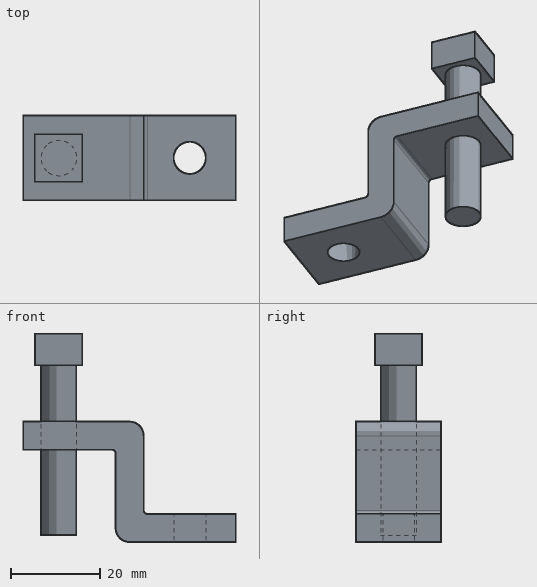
import cadquery as cq

bracket_length = 47.65
bracket_width = 19.05
bracket_height = 27.0
bar_thickness = 6.35
web_right = 27.0
outer_bend_radius = 3.2
inner_bend_radius = 0.8
mount_hole_diameter = 7.15
mount_hole_from_end = 10.35

screw_x = 7.95
shank_diameter = 7.95
shank_bottom = 1.55
head_side = 10.6
head_height = 7.1
screw_top = 46.7

web_left = web_right - bar_thickness
upper_arm_bottom = bracket_height - bar_thickness
mount_hole_x = bracket_length - mount_hole_from_end
head_bottom = screw_top - head_height


def vertical_cylinder(x, diameter, bottom, top):
    """Round bar along Z on the middle plane of the part."""
    return cq.Workplane("XY", origin=(x, 0, bottom)).circle(diameter / 2).extrude(top - bottom)


def bend_edges(body, x, z):
    """Select the bracket's bend edge running along Y at the given X and Z."""
    margin = 0.05
    half_width = bracket_width / 2 + margin
    return body.edges(
        cq.selectors.BoxSelector(
            (x - margin, -half_width, z - margin),
            (x + margin, half_width, z + margin),
        )
    ).edges("|Y")


def make_bracket():
    outline = [
        (0, bracket_height),
        (web_right, bracket_height),
        (web_right, bar_thickness),
        (bracket_length, bar_thickness),
        (bracket_length, 0),
        (web_left, 0),
        (web_left, upper_arm_bottom),
        (0, upper_arm_bottom),
    ]
    body = cq.Workplane("XZ").polyline(outline).close().extrude(bracket_width / 2, both=True)

    bends = [
        (web_right, bracket_height, outer_bend_radius),
        (web_left, 0, outer_bend_radius),
        (web_right, bar_thickness, inner_bend_radius),
        (web_left, upper_arm_bottom, inner_bend_radius),
    ]
    for x, z, radius in bends:
        body = bend_edges(body, x, z).fillet(radius)

    mount_hole = vertical_cylinder(mount_hole_x, mount_hole_diameter, 0, bar_thickness)
    screw_hole = vertical_cylinder(screw_x, shank_diameter, upper_arm_bottom, bracket_height)
    return body.cut(mount_hole).cut(screw_hole)


def make_screw():
    shank = vertical_cylinder(screw_x, shank_diameter, shank_bottom, head_bottom)
    head = (
        cq.Workplane("XY", origin=(screw_x, 0, head_bottom))
        .rect(head_side, head_side)
        .extrude(head_height)
    )
    return shank.union(head)


bracket = make_bracket()
screw = make_screw()

result = cq.Compound.makeCompound([bracket.val(), screw.val()])